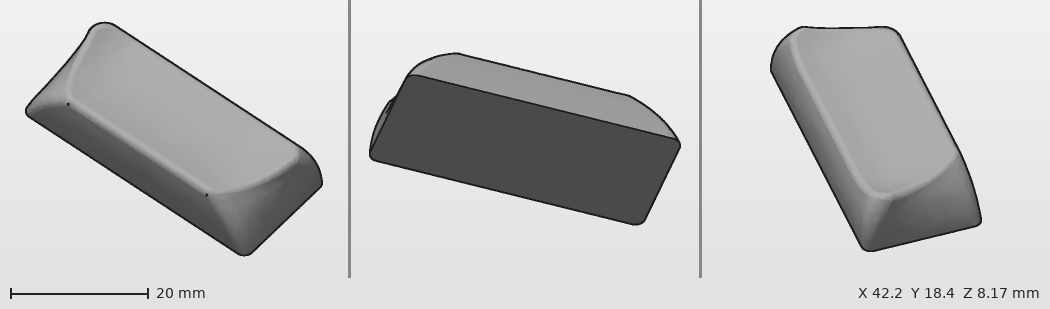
import cadquery as cq

LENGTH = 42.2
WIDTH = 18.4
FOOT_RADIUS = 1.48

FOOT_OUTLINE = (0.0, -WIDTH / 2, WIDTH / 2, LENGTH / 2, LENGTH / 2, FOOT_RADIUS, FOOT_RADIUS)
MIDDLE_OUTLINE = (4.65, -8.9, 8.6, 18.35, 20.9, 2.3, 2.1)
UPPER_OUTLINE = (9.3, -7.68, 5.4, 10.95, 21.5, 3.37, 2.95)

DISH_STRAIGHT_HALF = 11.85
DISH_LOW_Y = 1.6
DISH_LOW_Z = 6.55
DISH_CURVATURE = 0.02015
END_CURVATURE = 0.03319

DISH_MARGIN = 2.1
DISH_X_STEPS = 44
DISH_Y_STEPS = 20
DISH_TOLERANCE = 0.02
CUT_HEIGHT = 12.65

RIM_RADIUS = 1.05


def corners_at(wire, y):
    """Corner points of an outline that lie on the line with the given y."""
    return [vertex for vertex in wire.Vertices() if abs(vertex.Y - y) < 0.005]


def outline(level, front, back, front_half, back_half, front_radius, back_radius):
    """Horizontal trapezoid with rounded corners, one section of the walls."""
    corners = [
        cq.Vector(-front_half, front, level),
        cq.Vector(front_half, front, level),
        cq.Vector(back_half, back, level),
        cq.Vector(-back_half, back, level),
    ]
    wire = cq.Wire.makePolygon(corners, close=True)
    wire = wire.fillet2D(front_radius, corners_at(wire, front))
    return wire.fillet2D(back_radius, corners_at(wire, back))


def walls():
    """Block whose bulging walls lean in, most of all at the front corners."""
    sections = [outline(*sizes) for sizes in (FOOT_OUTLINE, MIDDLE_OUTLINE, UPPER_OUTLINE)]
    return cq.Workplane(obj=cq.Solid.makeLoft(sections))


def dish_point(x, y):
    """Point of the dish surface above (x, y)."""
    end_run = max(0.0, abs(x) - DISH_STRAIGHT_HALF)
    z = DISH_LOW_Z + DISH_CURVATURE * (y - DISH_LOW_Y) ** 2 + END_CURVATURE * end_run**2
    return cq.Vector(x, y, z)


def spread(half_span, steps):
    """Evenly spaced values from -half_span to half_span."""
    return [half_span * (2 * i / steps - 1) for i in range(steps + 1)]


def dish_cutter():
    """Everything above the dish surface."""
    x_values = spread(LENGTH / 2 + DISH_MARGIN, DISH_X_STEPS)
    y_values = spread(WIDTH / 2 + DISH_MARGIN, DISH_Y_STEPS)
    points = [[dish_point(x, y) for y in y_values] for x in x_values]
    surface = cq.Face.makeSplineApprox(points, tol=DISH_TOLERANCE, minDeg=3, maxDeg=5)
    return cq.Workplane(obj=cq.Solid.extrudeLinear(surface, cq.Vector(0, 0, CUT_HEIGHT)))


def rim_of(body):
    """Edges around the dish, the only face that lies wholly above the middle outline."""
    upper_region = cq.selectors.BoxSelector(
        (-LENGTH, -WIDTH, MIDDLE_OUTLINE[0]),
        (LENGTH, WIDTH, CUT_HEIGHT),
        boundingbox=True,
    )
    return body.faces(upper_region).edges()


dished_block = walls().cut(dish_cutter())
result = rim_of(dished_block).fillet(RIM_RADIUS)